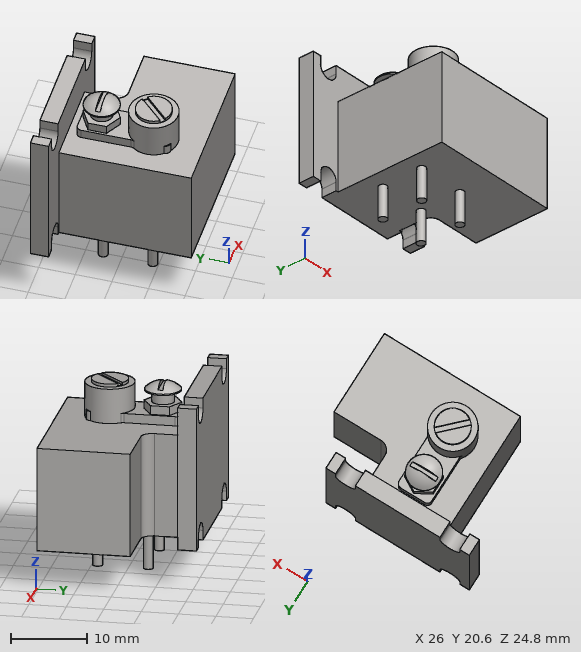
import cadquery as cq


total_length = 26.03
total_depth = 20.56
block_left = 4.95
block_height = 14.2
step_x = 17.23
step_y = 12.47
step_radius = 1.5

flange_length = 22.2
flange_thickness = 2.5
flange_height = 19.7
notch_width = 3.07
notch_depth = 2.9
notch_inset = 3.02

pin_diameter = 1.33
pin_length = 5.08
pin_x = 7.91
pin_y = 6.1
pin_pitch_x = 7.63
pin_pitch_y = 6.77

adjuster_x = 11.15
foot_width = 5.08
foot_front = 4.05
foot_back = 16.8
foot_height = 1.28
foot_corner_radius = 0.7

screw_y = 13.98
nut_corner_diameter = 5.08
nut_height = 1.2
shank_diameter = 3.02
shank_length = 1.6
head_diameter = 4.9
head_rim = 0.18
head_dome = 1.05
head_slot_width = 0.65
head_slot_depth = 0.65

dial_y = 6.87
dial_diameter = 6.65
dial_height = 4.76
disc_diameter = 4.87
disc_height = 0.42
disc_slot_width = 0.75
disc_slot_depth = 0.3
disc_slot_angle = 45.0

block_depth = total_depth - flange_thickness
foot_top = block_height + foot_height
nut_top = foot_top + nut_height
head_bottom = nut_top + shank_length
head_top = head_bottom + head_rim + head_dome
disc_top = block_height + dial_height + disc_height


def plane_at(x, y, z):
    """Horizontal workplane centred on a point."""
    return cq.Workplane("XY", origin=(x, y, z))


def make_block():
    """L-shaped block with a rounded inner corner."""
    return (
        cq.Workplane("XY")
        .moveTo(block_left, 0)
        .lineTo(total_length, 0)
        .lineTo(total_length, step_y)
        .lineTo(step_x + step_radius, step_y)
        .radiusArc((step_x, step_y + step_radius), step_radius)
        .lineTo(step_x, block_depth)
        .lineTo(block_left, block_depth)
        .close()
        .extrude(block_height)
    )


def make_flange():
    """Upright plate with a round-bottomed notch near each corner."""
    flange = cq.Workplane("XY").box(flange_length, flange_thickness, flange_height, centered=False)
    for x in (notch_inset, flange_length - notch_inset):
        for z in (0, flange_height):
            notch = (
                cq.Workplane("XZ", origin=(x, 0, z))
                .slot2D(2 * notch_depth, notch_width, 90)
                .extrude(-flange_thickness)
            )
            flange = flange.cut(notch)
    return flange.translate((0, block_depth, 0))


def make_pins():
    """Two by two pins hanging from the block's base."""
    corners = [(pin_x + i * pin_pitch_x, pin_y + j * pin_pitch_y) for i in (0, 1) for j in (0, 1)]
    return cq.Workplane("XY").pushPoints(corners).circle(pin_diameter / 2).extrude(-pin_length)


def make_housing():
    """Block, flange and pins moulded as one."""
    return make_block().union(make_flange()).union(make_pins())


def make_foot():
    """Flat strip with rounded corners."""
    foot_length = foot_back - foot_front
    return (
        plane_at(adjuster_x, (foot_front + foot_back) / 2, block_height)
        .rect(foot_width, foot_length)
        .extrude(foot_height)
        .edges("|Z")
        .fillet(foot_corner_radius)
    )


def make_screw():
    """Hexagon nut, shank and slotted domed head."""
    nut = (
        plane_at(adjuster_x, screw_y, foot_top)
        .transformed(rotate=(0, 0, 90))
        .polygon(6, nut_corner_diameter)
        .extrude(nut_height)
    )
    shank = plane_at(adjuster_x, screw_y, nut_top).circle(shank_diameter / 2).extrude(shank_length)

    head_radius = head_diameter / 2
    dome_radius = (head_radius**2 + head_dome**2) / (2 * head_dome)
    head_height = head_rim + head_dome
    head = (
        cq.Workplane("XZ", origin=(adjuster_x, screw_y, head_bottom))
        .lineTo(head_radius, 0)
        .lineTo(head_radius, head_rim)
        .radiusArc((0, head_height), -dome_radius)
        .close()
        .revolve(360, (0, 0), (0, 1))
    )
    slot = (
        plane_at(adjuster_x, screw_y, head_top)
        .rect(head_diameter, head_slot_width)
        .extrude(-head_slot_depth)
    )
    return nut.union(shank).union(head.cut(slot))


def make_dial():
    """Round barrel topped by a disc with a slanted screwdriver slot."""
    barrel = plane_at(adjuster_x, dial_y, block_height).circle(dial_diameter / 2).extrude(dial_height)
    disc = barrel.faces(">Z").workplane().circle(disc_diameter / 2).extrude(disc_height)
    slot = (
        plane_at(adjuster_x, dial_y, disc_top)
        .transformed(rotate=(0, 0, disc_slot_angle))
        .rect(disc_diameter, disc_slot_width)
        .extrude(-disc_slot_depth)
    )
    return disc.cut(slot)


def make_adjuster():
    """Foot, locking screw and dial as one piece standing on the block."""
    foot_and_dial = make_foot().union(make_dial())
    corner_region = cq.selectors.BoxSelector(
        (adjuster_x - foot_width, dial_y, block_height),
        (adjuster_x + foot_width, screw_y, foot_top),
    )
    inner_corners = foot_and_dial.edges("|Z").edges(corner_region)
    return inner_corners.fillet(foot_corner_radius).union(make_screw())


housing = make_housing()
adjuster = make_adjuster()

result = cq.Compound.makeCompound([housing.val(), adjuster.val()])